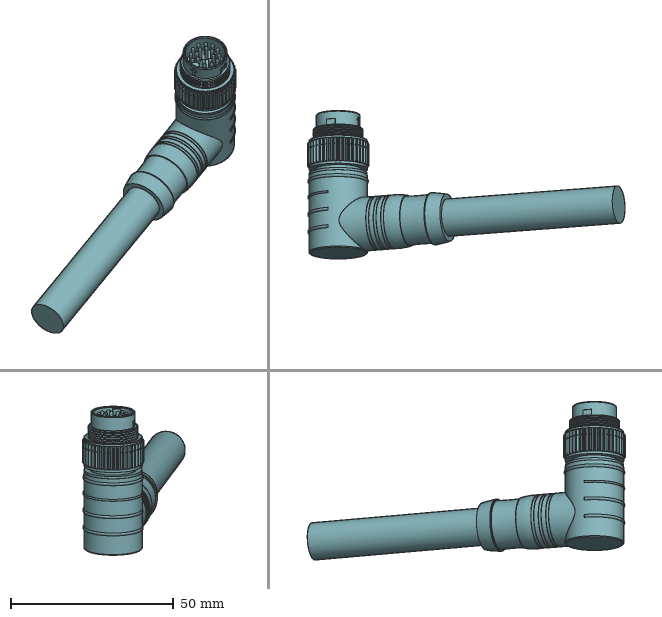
import cadquery as cq
import math


total_length = 101.5
total_height = 43.5
total_width = 19.0

body_radius = 9.0
body_chamfer = 0.3
body_top = 25.1
collar_radius = 8.9
collar_bottom = 24.4
fusing_depth = 0.5
neck_radius = 7.1
bead_radius = 9.3
body_ring = (22.6, 0.9)
grip_ribs = [(17.6, 0.6), (12.2, 0.9), (6.7, 0.9)]

nut_bottom = 26.4
nut_top = 35.4
nut_rim_radius = 9.0
nut_rim_height = 0.8
nut_rim_chamfer = 0.2
nut_radius = 8.8
tooth_count = 40
tooth_first_angle = 1.8
tooth_tip_radius = total_width / 2
tooth_tip_width = 0.3
tooth_base_width = 0.9
tooth_bottom = nut_bottom + nut_rim_height
tooth_top = nut_top - nut_rim_height
nut_groove_z = 32.6
nut_groove_width = 0.3
nut_groove_depth = 0.3
tooth_end_chamfer = 0.4
tooth_root = nut_radius - fusing_depth

thread_top = 39.1
thread_radius = 7.7
thread_pitch = 0.7
thread_depth = 0.4
thread_groove_width = 0.6
thread_top_chamfer = 0.3
thread_groove_count = 4

sleeve_radius = 6.8
sleeve_bore_radius = 6.1
sleeve_outer_chamfer = 0.3
sleeve_inner_chamfer = 0.3
socket_floor = 37.7
notch_width = 2.8
notch_depth = 0.3
notch_top = 41.0
key_radius = 1.2
key_centre_radius = 5.7
key_outer_radius = sleeve_bore_radius + 0.1
key_top = total_height - 0.4
pin_radius = 0.5
pin_rounding = 0.46
pin_top = total_height - 0.6
outer_pin_circle = 4.4
outer_pin_places = 12
inner_pin_circle = 2.6
inner_pin_count = 8

arrow_tip_z = 42.4
arrow_head_z = 41.3
arrow_head_half = 1.1
arrow_shaft_half = 0.4
arrow_depth = 0.2

cable_axis_z = 8.5
cable_radius = 5.8
cable_length = total_length - total_width / 2
relief_root_radius = 8.4
relief_radius = 8.3
relief_groove_depth = 0.2
relief_groove_width = 0.9
relief_grooves = [12.1, 14.5, 17.0]
shoulder_start = 20.0
shoulder_end = 23.0
shoulder_end_radius = 7.9
shoulder_bulge = 0.1
waist_radius = 7.6
waist_dip = 0.1
flare_start = 31.1
flare_lip_radius = 8.0
flare_lip_end = 31.4
flare_radius = 8.1
flare_end = 36.0
flare_end_radius = 7.3
flare_bulge = 0.1


def disc(radius, bottom, top):
    return cq.Workplane("XY").workplane(offset=bottom).circle(radius).extrude(top - bottom)


def bead(middle_z, height, sweep_angle):
    """Rounded ring on the body, swept from -X through +Y."""
    root = body_radius - fusing_depth
    low = middle_z - height / 2
    high = middle_z + height / 2
    profile = (
        cq.Workplane("XZ")
        .moveTo(-root, low)
        .lineTo(-body_radius, low)
        .threePointArc((-bead_radius, middle_z), (-body_radius, high))
        .lineTo(-root, high)
        .close()
    )
    return profile.revolve(sweep_angle, (0, 1, 0), (0, 0, 0))


def ring_groove(radius, middle_z, width, depth):
    """V-shaped ring used to cut a groove into a cylinder of the given radius."""
    profile = cq.Workplane("XZ").polyline([
        (radius - depth, middle_z),
        (radius, middle_z - width / 2),
        (radius + depth, middle_z - width / 2),
        (radius + depth, middle_z + width / 2),
        (radius, middle_z + width / 2),
    ]).close()
    return profile.revolve(360, (0, 0, 0), (0, 1, 0))


def make_body():
    body = disc(body_radius, 0, collar_bottom).faces("<Z").edges().chamfer(body_chamfer)
    body = body.union(disc(collar_radius, collar_bottom, body_top))
    body = body.union(disc(neck_radius, body_top, nut_bottom))
    body = body.union(bead(*body_ring, 360))
    for rib in grip_ribs:
        body = body.union(bead(*rib, 180))
    return body


def make_nut():
    nut = (
        disc(nut_rim_radius, nut_bottom, tooth_bottom)
        .union(disc(nut_radius, tooth_bottom, tooth_top))
        .union(disc(nut_rim_radius, tooth_top, nut_top))
        .faces(">Z").edges().chamfer(nut_rim_chamfer)
    )
    outline = [
        (tooth_root, -tooth_base_width / 2),
        (nut_radius, -tooth_base_width / 2),
        (tooth_tip_radius, -tooth_tip_width / 2),
        (tooth_tip_radius, tooth_tip_width / 2),
        (nut_radius, tooth_base_width / 2),
        (tooth_root, tooth_base_width / 2),
    ]
    tooth = (
        cq.Workplane("XY").workplane(offset=tooth_bottom)
        .polyline(outline).close().extrude(tooth_top - tooth_bottom)
        .faces(">X").edges("|Y").chamfer(tooth_end_chamfer)
    )
    tooth = tooth.cut(ring_groove(tooth_tip_radius, nut_groove_z, nut_groove_width, nut_groove_depth))
    teeth = (
        cq.Workplane("XY")
        .polarArray(0, tooth_first_angle, 360, tooth_count)
        .eachpoint(lambda place: tooth.val().moved(place))
    )
    return nut.union(teeth)


def make_threaded_collar():
    collar = disc(thread_radius, nut_top, thread_top)
    for index in range(thread_groove_count):
        middle_z = nut_top + (index + 1) * thread_pitch
        collar = collar.cut(ring_groove(thread_radius, middle_z, thread_groove_width, thread_depth))
    return collar.faces(">Z").edges().chamfer(thread_top_chamfer)


def make_arrow():
    """Arrow-shaped cutter that reaches the arrow depth into the front of the sleeve."""
    outline = [
        (-arrow_shaft_half, thread_top),
        (arrow_shaft_half, thread_top),
        (arrow_shaft_half, arrow_head_z),
        (arrow_head_half, arrow_head_z),
        (0, arrow_tip_z),
        (-arrow_head_half, arrow_head_z),
        (-arrow_shaft_half, arrow_head_z),
    ]
    arrow = cq.Workplane("XZ").polyline(outline).close().extrude(sleeve_radius)
    return arrow.cut(disc(sleeve_radius - arrow_depth, thread_top, arrow_tip_z))


def make_sleeve():
    sleeve = disc(sleeve_radius, thread_top, total_height)
    sleeve = sleeve.faces(">Z").edges().chamfer(sleeve_outer_chamfer)
    notch_height = notch_top - thread_top
    for side in (-1, 1):
        notch = cq.Workplane("XY").box(2 * notch_depth, notch_width, notch_height)
        sleeve = sleeve.cut(notch.translate((side * sleeve_radius, 0, thread_top + notch_height / 2)))
    return sleeve.cut(make_arrow())


def make_socket():
    """Cavity of the sleeve, widened at its mouth."""
    socket = disc(sleeve_bore_radius, socket_floor, total_height)
    mouth = (
        cq.Workplane("XY").workplane(offset=total_height)
        .circle(sleeve_bore_radius + sleeve_inner_chamfer)
        .extrude(-sleeve_inner_chamfer, taper=45)
    )
    return socket.union(mouth)


def make_key():
    """Rounded rib on the -Y wall of the socket."""
    key = disc(key_radius, socket_floor, key_top)
    wall_gap = key_outer_radius - key_centre_radius
    key_height = key_top - socket_floor
    web = cq.Workplane("XY").box(2 * key_radius, wall_gap, key_height, centered=(True, False, False))
    key = key.union(web.translate((0, -wall_gap, socket_floor)))
    key = key.translate((0, -key_centre_radius, 0))
    return key.intersect(disc(key_outer_radius, socket_floor, key_top))


def pin(circle_radius, angle):
    x = circle_radius * math.cos(math.radians(angle))
    y = circle_radius * math.sin(math.radians(angle))
    post = disc(pin_radius, socket_floor - fusing_depth, pin_top)
    return post.faces(">Z").edges().fillet(pin_rounding).translate((x, y, 0))


def make_pins():
    pins = []
    outer_step = 360 / outer_pin_places
    for index in range(1, outer_pin_places):
        pins.append(pin(outer_pin_circle, index * outer_step - 90))
    inner_step = 360 / inner_pin_count
    for index in range(inner_pin_count):
        pins.append(pin(inner_pin_circle, (index + 0.5) * inner_step))
    return pins


def make_relief_and_cable():
    """Strain relief and cable turned about the cable axis."""
    groove_radius = relief_radius - relief_groove_depth
    profile = cq.Workplane("XY").lineTo(relief_root_radius, 0)
    for near in relief_grooves:
        far = near + relief_groove_width
        profile = profile.lineTo(relief_radius, -near).lineTo(groove_radius, -near)
        profile = profile.lineTo(groove_radius, -far).lineTo(relief_radius, -far)

    shoulder_middle = (
        (relief_radius + shoulder_end_radius) / 2 + shoulder_bulge,
        -(shoulder_start + shoulder_end) / 2,
    )
    waist_middle = (waist_radius - waist_dip, -(shoulder_end + flare_start) / 2)
    flare_middle = (
        (flare_radius + flare_end_radius) / 2 + flare_bulge,
        -(flare_lip_end + flare_end) / 2,
    )
    profile = (
        profile.lineTo(relief_radius, -shoulder_start)
        .threePointArc(shoulder_middle, (shoulder_end_radius, -shoulder_end))
        .lineTo(waist_radius, -shoulder_end)
        .threePointArc(waist_middle, (waist_radius, -flare_start))
        .lineTo(flare_lip_radius, -flare_start)
        .lineTo(flare_radius, -flare_lip_end)
        .threePointArc(flare_middle, (flare_end_radius, -flare_end))
        .lineTo(cable_radius, -flare_end)
        .lineTo(cable_radius, -cable_length)
        .lineTo(0, -cable_length)
        .close()
    )
    return profile.revolve(360, (0, 0, 0), (0, 1, 0)).translate((0, 0, cable_axis_z))


result = (
    make_body()
    .union(make_relief_and_cable())
    .union(make_nut())
    .union(make_threaded_collar())
    .union(make_sleeve())
    .cut(make_socket())
    .union(make_key())
)
for contact in make_pins():
    result = result.union(contact)